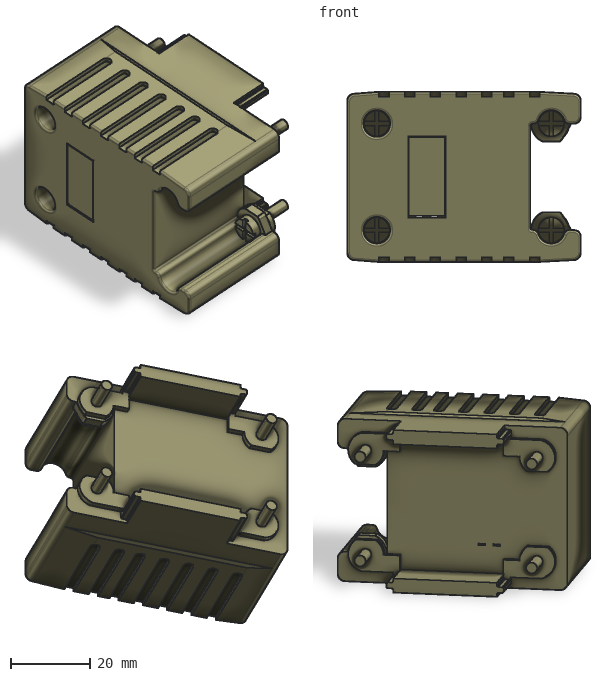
import cadquery as cq
import math


housing_width = 59.0
housing_height = 42.05
housing_depth = 32.15
corner_radius = 1.95
front_edge_radius = 0.6

overall_height = 43.0
pad_left = -21.35
pad_right = 18.6
pad_depth = 24.4
pad_ramp_length = 1.1

groove_width = 2.55
groove_end = 21.4
groove_depth = 1.25
first_groove_x = -20.2
groove_steps = [0.0, 6.5, 6.5, 6.5, 6.5, 5.55, 6.5]

screw_x = 22.0
screw_z = 13.45
access_radius = 3.35
notch_wall_x = 16.75
notch_half_height = 13.4
notch_corner_radius = 0.55
scallop_blend_radius = 1.5
arm_tip_radius = 1.75

seat_thickness = 2.5
seat_radius = 5.1
seat_flat_drop = 4.55
seat_flat_half_width = 2.2
seat_corner = 0.6

head_radius = 3.25
head_height = 2.5
cross_slot_width = 1.05
cross_slot_depth = 0.9
shank_radius = 1.4
shank_end = 41.4

ear_thickness = 1.5
ear_radius = 4.55
ear_inner_z = 9.8
ear_outer_z = 17.9

overall_depth = 42.6
plug_tongue_half_width = 15.05
plug_body_half_width = 13.35
plug_plate_height = 3.65
plug_tongue_height = 1.55
plug_chamfer = 0.3

frame_left = -14.1
frame_width = 9.45
frame_height = 20.55
frame_gap = 0.205
frame_gap_bottom = 0.44
frame_gap_depth = 1.5
slit_width = 1.7
slit_offsets = [2.85, 6.6]

half_width = housing_width / 2
half_height = housing_height / 2
pad_top = overall_height / 2
overshoot = 2.95
margin = 0.6


def slab(x_min, x_max, y_min, y_max, z_min, z_max):
    """Axis-aligned box given by its limits."""
    box = cq.Workplane("XY").box(x_max - x_min, y_max - y_min, z_max - z_min, centered=False)
    return box.translate((x_min, y_min, z_min))


def rod(radius, x, z, y_min, y_max):
    """Cylinder running along Y."""
    base = cq.Workplane("XZ", origin=(x, y_min, z))
    return base.circle(radius).extrude(y_min - y_max)


def prism(points, y_min, y_max):
    """Closed X-Z polygon extruded along Y."""
    return cq.Workplane("XZ", origin=(0, y_min, 0)).polyline(points).close().extrude(y_min - y_max)


def both_sides(solid):
    """The solid together with its mirror image below the Z = 0 plane."""
    return solid.union(solid.mirror("XY"))


def make_notch():
    """Opening in the right side with a rounded scallop at each right-hand screw."""
    notch = slab(notch_wall_x, half_width + overshoot, -overshoot, housing_depth + overshoot,
                 -notch_half_height, notch_half_height)
    notch = notch.edges("|Y and <X").fillet(notch_corner_radius)
    for z in (-screw_z, screw_z):
        notch = notch.union(rod(access_radius, screw_x, z, -overshoot, housing_depth + overshoot))
    scallop_corners = cq.selectors.BoxSelector(
        (screw_x - access_radius - margin, -2 * overshoot, -notch_half_height - margin),
        (screw_x + access_radius + margin, housing_depth + 2 * overshoot, notch_half_height + margin))
    return notch.edges("|Y").edges(scallop_corners).fillet(scallop_blend_radius)


def make_pad():
    """Low grip pad on the top face, tapered at its sides and sloped at its rear end."""
    foot = half_width - corner_radius
    buried = half_height - margin
    pad_end = pad_depth + pad_ramp_length
    pad = prism([(-foot, buried), (-foot, half_height), (pad_left, pad_top), (pad_right, pad_top),
                 (foot, half_height), (foot, buried)], 0, pad_end)
    ramp = (cq.Workplane("YZ", origin=(-half_width, 0, 0))
            .polyline([(0, buried), (pad_end, buried), (pad_end, half_height),
                       (pad_depth, pad_top), (0, pad_top)])
            .close().extrude(housing_width))
    return pad.intersect(ramp)


def make_housing():
    body = slab(-half_width, half_width, 0, housing_depth, -half_height, half_height)
    body = body.edges("|Y").fillet(corner_radius)
    body = body.cut(make_notch())
    tips = cq.selectors.BoxSelector((half_width - margin, -margin, -notch_half_height - margin),
                                    (half_width + margin, housing_depth + margin, notch_half_height + margin))
    body = body.edges("|Y").edges(tips).fillet(arm_tip_radius)
    body = body.union(both_sides(make_pad()))
    for z in (-screw_z, screw_z):
        body = body.cut(rod(access_radius, -screw_x, z, 0, housing_depth - seat_thickness))
    return body.faces("<Y").edges().fillet(front_edge_radius)


def make_grooves():
    """Round-ended grip grooves, open at the front, for the top pad."""
    floor = pad_top - groove_depth
    radius = groove_width / 2
    straight_end = groove_end - radius
    cutters = cq.Workplane("XY")
    x = first_groove_x
    for step in groove_steps:
        x += step
        cutter = slab(x - radius, x + radius, -overshoot, straight_end, floor, floor + overshoot)
        round_end = cq.Workplane("XY", origin=(x, straight_end, floor)).circle(radius).extrude(overshoot)
        cutters = cutters.add(cutter.union(round_end))
    return cutters.combine()


def make_seat():
    """Plate that carries an upper right-hand screw and bulges into the notch."""
    flat_z = screw_z - seat_flat_drop
    diagonal = seat_radius * math.sqrt(0.5)
    outline = (cq.Workplane("XZ", origin=(screw_x, housing_depth, 0))
               .moveTo(seat_radius, screw_z)
               .lineTo(seat_flat_half_width + seat_corner, flat_z + seat_corner)
               .lineTo(seat_flat_half_width, flat_z)
               .lineTo(-seat_flat_half_width, flat_z)
               .threePointArc((-diagonal, screw_z - diagonal), (-seat_radius, screw_z))
               .lineTo(-seat_radius, ear_outer_z)
               .lineTo(seat_radius, ear_outer_z)
               .close())
    return outline.extrude(seat_thickness)


def make_screw(x):
    """Cross-slotted screw whose head rests on the seat."""
    seat_face = housing_depth - seat_thickness
    head_face = seat_face - head_height
    screw = rod(head_radius, x, screw_z, head_face, seat_face)
    half_slot = cross_slot_width / 2
    slot_floor = head_face + cross_slot_depth
    screw = screw.cut(slab(x - head_radius, x + head_radius, head_face, slot_floor,
                           screw_z - half_slot, screw_z + half_slot))
    screw = screw.cut(slab(x - half_slot, x + half_slot, head_face, slot_floor,
                           screw_z - head_radius, screw_z + head_radius))
    return screw.union(rod(shank_radius, x, screw_z, seat_face, shank_end))


def make_ears():
    """Thin rear plate with a round end about each screw, on the upper half."""
    y_end = housing_depth + ear_thickness
    tongue_z = half_height - plug_plate_height / 2
    ears = slab(-plug_tongue_half_width, plug_tongue_half_width, housing_depth, y_end, ear_outer_z, tongue_z)
    for side in (-1, 1):
        x_limits = sorted([side * plug_body_half_width, side * screw_x])
        disc = rod(ear_radius, side * screw_x, screw_z, housing_depth, y_end)
        trim = slab(-half_width, half_width, housing_depth, y_end, ear_inner_z, ear_outer_z)
        ears = ears.union(slab(*x_limits, housing_depth, y_end, screw_z, ear_outer_z))
        ears = ears.union(disc.intersect(trim))
    return ears


def make_plug():
    """Upper plug plate: a flat plate with a chamfered tongue along each side."""
    middle_z = half_height - plug_plate_height / 2
    inner = plug_body_half_width
    outer = plug_tongue_half_width
    tongue = plug_tongue_height / 2
    c = plug_chamfer
    right_side = [(inner, plug_plate_height / 2), (inner, tongue + c), (inner + c, tongue),
                  (outer - c, tongue), (outer, tongue - c)]
    right_side += [(x, -z) for x, z in reversed(right_side)]
    outline = right_side + [(-x, z) for x, z in reversed(right_side)]
    return prism(outline, housing_depth, overall_depth).translate((0, 0, middle_z))


def make_frame_gap():
    """Gap around the front insert, with two slits passing right through below it."""
    right = frame_left + frame_width
    top = frame_height / 2
    insert_bottom = frame_gap_bottom - top
    gap = slab(frame_left, right, 0, frame_gap_depth, -top, top)
    gap = gap.cut(slab(frame_left + frame_gap, right - frame_gap, 0, frame_gap_depth,
                       insert_bottom, top - frame_gap))
    for offset in slit_offsets:
        x = frame_left + offset
        gap = gap.union(slab(x - slit_width / 2, x + slit_width / 2, 0, housing_depth, -top, insert_bottom))
    return gap


result = make_housing()
result = result.cut(both_sides(make_grooves()))
result = result.cut(make_frame_gap())
result = result.union(both_sides(make_seat()))
for side in (-screw_x, screw_x):
    result = result.union(both_sides(make_screw(side)))
result = result.union(both_sides(make_ears()))
result = result.union(both_sides(make_plug()))